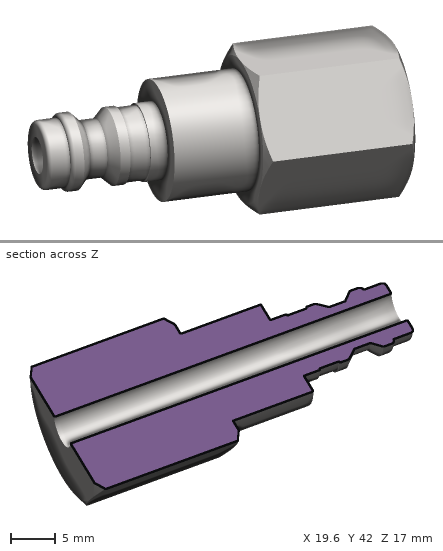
import cadquery as cq
import math

total_length = 42.0
bore_diameter = 4.2

across_flats = 17.0
hex_length = 18.0
hex_start = total_length - hex_length
corner_chamfer_angle = 30.0

collar_diameter = 14.0
plug_diameter = 9.0
groove_diameter = 8.55
waist_diameter = 6.75
tip_diameter = 8.0
edge_radius = 0.5

front_ring_start = 2.6
front_ring_end = 4.1
waist_start = 5.2
waist_end = 7.2
rear_ring_start = 8.4
groove_start = 9.58
groove_end = 11.95
collar_start = 14.0


def hexagon_body():
    """Hexagonal prism whose corners are turned to a cone at both ends."""
    corner_radius = across_flats / 2 / math.cos(math.pi / 6)
    flat_radius = across_flats / 2
    corner_drop = (corner_radius - flat_radius) * math.tan(math.radians(corner_chamfer_angle))
    prism = (
        cq.Workplane("XZ", origin=(0, hex_start, 0))
        .polygon(6, 2 * corner_radius)
        .extrude(-hex_length)
    )
    turned_envelope = (
        cq.Workplane("XY")
        .moveTo(0, hex_start)
        .lineTo(flat_radius, hex_start)
        .lineTo(corner_radius, hex_start + corner_drop)
        .lineTo(corner_radius, total_length - corner_drop)
        .lineTo(flat_radius, total_length)
        .lineTo(0, total_length)
        .close()
        .revolve(360, (0, 0, 0), (0, 1, 0))
    )
    return prism.intersect(turned_envelope)


def turned_plug():
    """Collar, seal groove, latching waist and rounded tip in one revolution."""
    tip_radius = tip_diameter / 2
    ring_radius = plug_diameter / 2
    groove_radius = groove_diameter / 2
    waist_radius = waist_diameter / 2
    collar_radius = collar_diameter / 2
    return (
        cq.Workplane("XY")
        .lineTo(tip_radius - edge_radius, 0)
        .radiusArc((tip_radius, edge_radius), -edge_radius)
        .lineTo(tip_radius, front_ring_start)
        .radiusArc((ring_radius, front_ring_start + edge_radius), -edge_radius)
        .lineTo(ring_radius, front_ring_end)
        .lineTo(waist_radius, waist_start)
        .lineTo(waist_radius, waist_end)
        .lineTo(ring_radius, rear_ring_start)
        .lineTo(ring_radius, groove_start)
        .lineTo(groove_radius, groove_start)
        .lineTo(groove_radius, groove_end)
        .lineTo(ring_radius, groove_end)
        .lineTo(ring_radius, collar_start)
        .lineTo(collar_radius, collar_start)
        .lineTo(collar_radius, hex_start)
        .lineTo(0, hex_start)
        .close()
        .revolve(360, (0, 0, 0), (0, 1, 0))
    )


def through_bore():
    """Flow passage along the full length."""
    return cq.Workplane("XZ").circle(bore_diameter / 2).extrude(-total_length)


result = hexagon_body().union(turned_plug()).cut(through_bore())